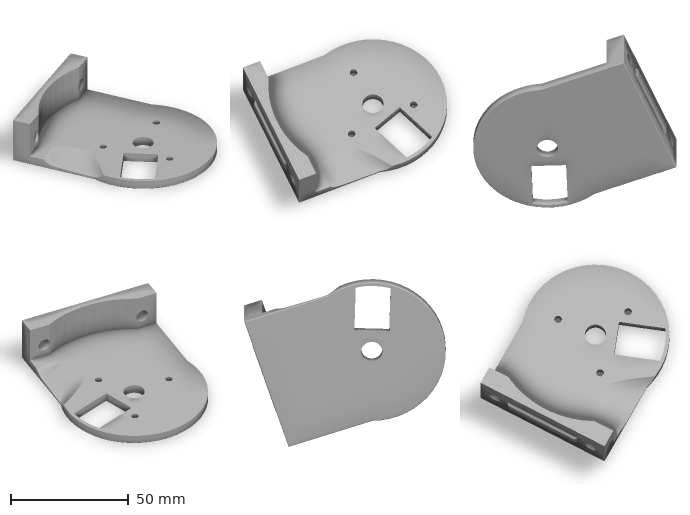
import cadquery as cq
import math

total_length = 79.75
disc_diameter = 63.0
disc_radius = disc_diameter / 2
plate_thickness = 4.0
bottom_chamfer = 0.3

wall_width = 60.0
wall_height = 20.0
wall_thickness = 7.9
wall_relief_radius = 44.5
wall_hole_diameter = 5.5
wall_hole_spacing = 46.4

key_depth = 1.0
key_length = 34.0
key_height = 6.0

wall_outer_x = disc_radius - total_length + key_depth
wall_mid_z = wall_height / 2

shaft_hole_diameter = 9.0
pin_hole_diameter = 3.2
pin_hole_depth = 3.2
pin_circle_radius = 17.3
pin_count = 3
first_pin_angle = 95.0

window_angle = 20.0
window_inner_distance = 9.1
window_outer_radius = 29.9
window_left = -7.65
window_right = 7.2
window_corner_radius = 0.4

trough_slope = 10.0
trough_heading = 13.3
trough_fillet = 7.5
trough_floor_corner = (-31.8, -17.6)
trough_floor_width = 12.35
trough_length = 31.9
trough_height = 12.0
trough_left_flare = 5.7
trough_right_flare = 13.7


def make_plate():
    """Disc merged with a straight-sided tail, bevelled around the underside."""
    tail = (
        cq.Workplane("XY")
        .rect(abs(wall_outer_x), wall_width)
        .extrude(plate_thickness)
        .translate((wall_outer_x / 2, 0, 0))
    )
    disc = cq.Workplane("XY").circle(disc_radius).extrude(plate_thickness)
    return disc.union(tail).faces("<Z").edges().chamfer(bottom_chamfer)


def make_trough():
    """Flared flat-bottomed cutter with its two long lower edges rounded."""
    heading = math.radians(trough_heading)
    slope = math.radians(trough_slope)
    ramp = cq.Plane(
        origin=(*trough_floor_corner, plate_thickness),
        xDir=(math.cos(heading), math.sin(heading), 0),
        normal=(
            math.sin(heading) * math.sin(slope),
            -math.cos(heading) * math.sin(slope),
            math.cos(slope),
        ),
    )

    left_angle = math.radians(trough_left_flare)
    right_angle = math.radians(trough_right_flare)
    start_left = -trough_fillet / math.cos(left_angle)
    start_right = trough_floor_width + trough_fillet / math.cos(right_angle)
    end_left = start_left + trough_length * math.tan(left_angle)
    end_right = start_right + trough_length * math.tan(right_angle)
    block = (
        cq.Workplane(ramp)
        .moveTo(start_left, 0)
        .lineTo(start_right, 0)
        .lineTo(end_right, -trough_length)
        .lineTo(end_left, -trough_length)
        .close()
        .extrude(trough_height)
    )
    floor = block.faces(cq.selectors.DirectionMinMaxSelector(ramp.zDir, directionMax=False))
    long_edges = floor.edges(-cq.selectors.ParallelDirSelector(ramp.xDir))
    return long_edges.fillet(trough_fillet)


def make_wall():
    """Upright wall, hollowed on its inner side around the disc axis."""
    wall = (
        cq.Workplane("XY")
        .rect(wall_thickness, wall_width)
        .extrude(wall_height - plate_thickness)
        .translate((wall_outer_x + wall_thickness / 2, 0, plate_thickness))
    )
    relief = (
        cq.Workplane("XY")
        .workplane(offset=plate_thickness)
        .circle(wall_relief_radius)
        .extrude(wall_height)
    )
    return wall.cut(relief)


def make_key():
    """Rectangular key whose four sides slope inward at 45 degrees."""
    return (
        cq.Workplane("YZ", origin=(wall_outer_x, 0, wall_mid_z))
        .rect(key_length, key_height)
        .workplane(offset=-key_depth)
        .rect(key_length - 2 * key_depth, key_height - 2 * key_depth)
        .loft(ruled=True)
    )


def make_wall_holes():
    half_spacing = wall_hole_spacing / 2
    return (
        cq.Workplane("YZ", origin=(wall_outer_x, 0, wall_mid_z))
        .pushPoints([(-half_spacing, 0), (half_spacing, 0)])
        .circle(wall_hole_diameter / 2)
        .extrude(wall_thickness)
    )


def make_pin_holes():
    """Blind holes evenly spaced around the shaft hole."""
    return (
        cq.Workplane("XY", origin=(0, 0, plate_thickness))
        .polarArray(pin_circle_radius, first_pin_angle, 360, pin_count)
        .circle(pin_hole_diameter / 2)
        .extrude(-pin_hole_depth)
    )


def make_window():
    window = (
        cq.Workplane("XY")
        .moveTo(window_left, -window_inner_distance)
        .lineTo(window_right, -window_inner_distance)
        .lineTo(window_right, -math.sqrt(window_outer_radius**2 - window_right**2))
        .threePointArc(
            (0, -window_outer_radius),
            (window_left, -math.sqrt(window_outer_radius**2 - window_left**2)),
        )
        .close()
        .extrude(plate_thickness)
        .edges("|Z")
        .fillet(window_corner_radius)
    )
    return window.rotate((0, 0, 0), (0, 0, 1), window_angle)


shaft_hole = cq.Workplane("XY").circle(shaft_hole_diameter / 2).extrude(plate_thickness)

plate = make_plate().cut(make_trough()).cut(shaft_hole).cut(make_pin_holes()).cut(make_window())
wall = make_wall().union(make_key()).cut(make_wall_holes())
result = plate.union(wall)